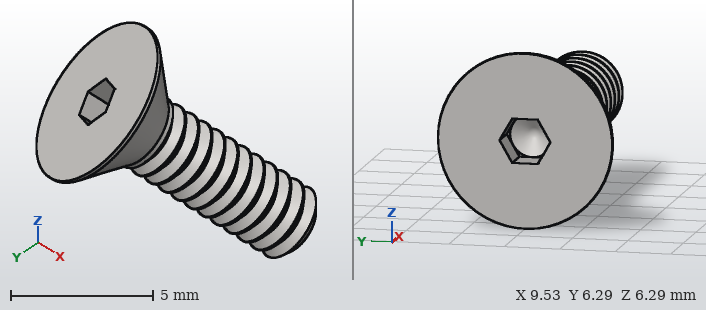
import cadquery as cq
import math

length = 9.53
head_diameter = 6.29
head_rim_width = 0.15
head_height = 2.13

thread_diameter = 2.84
root_diameter = 2.12
pitch = 0.63
crest_width = 0.08
groove_count = 11
neck_length = 0.21

socket_flats = 1.59
socket_depth = 1.14
drill_angle = 118.0

head_radius = head_diameter / 2
thread_radius = thread_diameter / 2
root_radius = root_diameter / 2
flank_width = (pitch - crest_width) / 2
thread_start = head_height + neck_length


def screw_body():
    """Revolve the half profile of the head, neck and grooved shank."""
    profile = [
        (0, 0),
        (0, head_radius),
        (head_rim_width, head_radius),
        (head_height, thread_radius),
    ]
    for groove in range(groove_count):
        groove_start = thread_start + groove * pitch
        profile += [
            (groove_start, thread_radius),
            (groove_start + flank_width, root_radius),
            (groove_start + 2 * flank_width, thread_radius),
        ]
    profile += [(length, root_radius), (length, 0)]
    return cq.Workplane("XY").polyline(profile).close().revolve(360, (0, 0, 0), (1, 0, 0))


def hex_socket():
    """Hexagonal prism with corners on the Y axis, ending in a drill cone."""
    corner_diameter = socket_flats / math.cos(math.pi / 6)
    hexagon = cq.Workplane("YZ").polygon(6, corner_diameter).extrude(socket_depth)
    cone_radius = socket_flats / 2
    cone_depth = cone_radius / math.tan(math.radians(drill_angle / 2))
    cone = cq.Solid.makeCone(
        cone_radius, 0, cone_depth, cq.Vector(socket_depth, 0, 0), cq.Vector(1, 0, 0)
    )
    return hexagon.union(cq.Workplane(cone))


result = screw_body().cut(hex_socket())